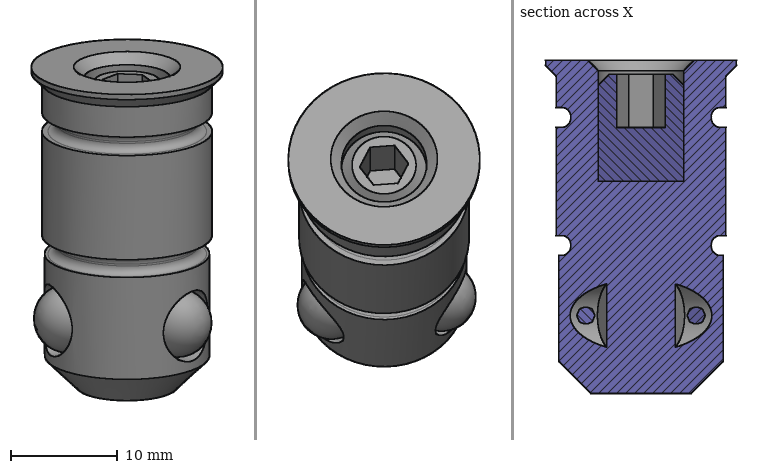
import cadquery as cq
import math

height = 31.3
flange_radius = 18.0 / 2
flange_rim = 0.5
body_radius = 16.0 / 2
nose_radius = 15.5 / 2
nose_top = 13.0
nose_chamfer = 3.0

groove_width = 1.8
groove_radius = 13.27 / 2
groove_fillet = 0.8
lower_groove_bottom = nose_top
upper_groove_bottom = 25.0

screw_radius = 4.0
screw_chamfer = 1.0
screw_length = 10.02
screw_recess = 1.3
socket_across_flats = 3.98
socket_depth = 5.0
bore_chamfer = 1.0
screw_top = height - screw_recess
screw_bottom = screw_top - screw_length

ball_count = 3
ball_radius = 3.22
ball_offset = 5.98
ball_height = 7.32
pocket_radius = 3.4
pocket_floor = ball_offset - ball_radius
ball_angles = [i * 360 / ball_count for i in range(ball_count)]


def make_outer_shape():
    """Turned outline: chamfered nose, cylindrical body, tapered flange with a thin rim."""
    rim_bottom = height - flange_rim
    taper_bottom = rim_bottom - (flange_radius - body_radius)
    return (
        cq.Workplane("XZ")
        .moveTo(0, 0)
        .lineTo(nose_radius - nose_chamfer, 0)
        .lineTo(nose_radius, nose_chamfer)
        .lineTo(nose_radius, nose_top)
        .lineTo(body_radius, nose_top)
        .lineTo(body_radius, taper_bottom)
        .lineTo(flange_radius, rim_bottom)
        .lineTo(flange_radius, height)
        .lineTo(0, height)
        .close()
        .revolve(360, (0, 0, 0), (0, 1, 0))
    )


def make_groove_ring(bottom):
    """Ring of material removed by one groove, with quarter-round floor corners."""
    top = bottom + groove_width
    corner_radius = groove_radius + groove_fillet
    arc_inset = groove_fillet * (1 - math.sqrt(0.5))
    arc_mid_radius = groove_radius + arc_inset
    return (
        cq.Workplane("XZ")
        .moveTo(body_radius, bottom)
        .lineTo(corner_radius, bottom)
        .threePointArc((arc_mid_radius, bottom + arc_inset), (groove_radius, bottom + groove_fillet))
        .lineTo(groove_radius, top - groove_fillet)
        .threePointArc((arc_mid_radius, top - arc_inset), (corner_radius, top))
        .lineTo(body_radius, top)
        .close()
        .revolve(360, (0, 0, 0), (0, 1, 0))
    )


def make_screw_bore():
    """Blind bore from the top face, widened by a 45 degree chamfer at its mouth."""
    mouth_radius = screw_radius + bore_chamfer
    return (
        cq.Workplane("XZ")
        .moveTo(0, screw_bottom)
        .lineTo(screw_radius, screw_bottom)
        .lineTo(screw_radius, height - bore_chamfer)
        .lineTo(mouth_radius, height)
        .lineTo(0, height)
        .close()
        .revolve(360, (0, 0, 0), (0, 1, 0))
    )


def make_ball_pocket(angle):
    """Flat-bottomed radial hole that opens through the side of the nose."""
    return (
        cq.Workplane("YZ", origin=(pocket_floor, 0, ball_height))
        .circle(pocket_radius)
        .extrude(flange_radius - pocket_floor)
        .rotate((0, 0, 0), (0, 0, 1), angle)
    )


def make_housing():
    housing = make_outer_shape()
    for bottom in (lower_groove_bottom, upper_groove_bottom):
        housing = housing.cut(make_groove_ring(bottom))
    housing = housing.cut(make_screw_bore())
    for angle in ball_angles:
        housing = housing.cut(make_ball_pocket(angle))
    return housing


def make_set_screw():
    """Plain cylinder with a chamfered top edge and a hexagon socket, corners toward +Y and -Y."""
    screw = (
        cq.Workplane("XY", origin=(0, 0, screw_bottom))
        .circle(screw_radius)
        .extrude(screw_length)
        .faces(">Z")
        .chamfer(screw_chamfer)
    )
    socket = (
        cq.Workplane("XY", origin=(0, 0, screw_top))
        .polygon(6, socket_across_flats, circumscribed=True)
        .extrude(-socket_depth)
    )
    return screw.cut(socket)


def make_ball(angle):
    return (
        cq.Workplane("XY", origin=(ball_offset, 0, ball_height))
        .sphere(ball_radius)
        .rotate((0, 0, 0), (0, 0, 1), angle)
    )


housing = make_housing()
set_screw = make_set_screw()
balls = [make_ball(angle) for angle in ball_angles]

result = cq.Compound.makeCompound([housing.val(), set_screw.val(), *[ball.val() for ball in balls]])